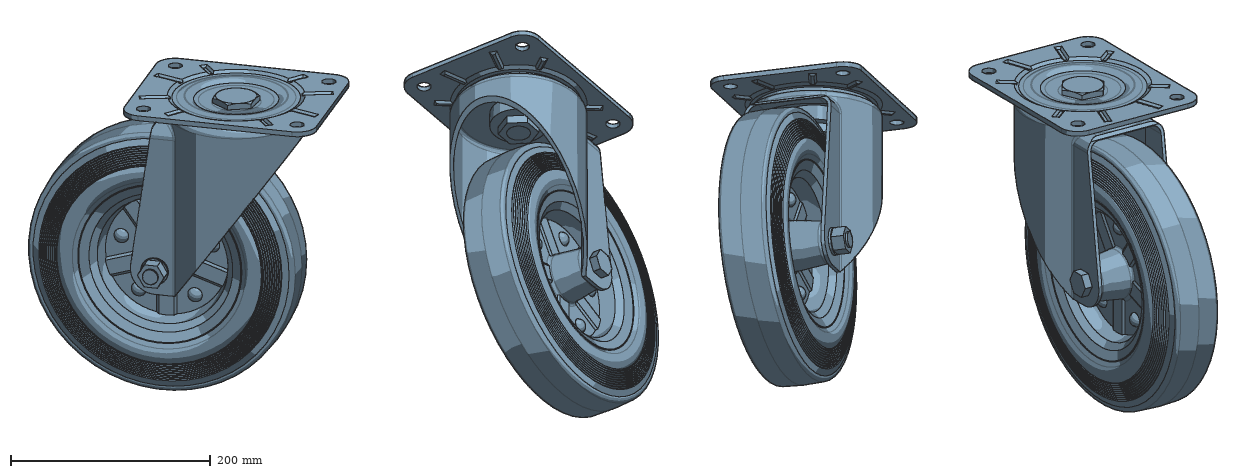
import cadquery as cq
import math


OVERALL_HEIGHT = 320.0
OVERALL_LENGTH = 312.0

PLATE_LENGTH = 200.0
PLATE_WIDTH = 160.0
PLATE_THICKNESS = 5.0
PLATE_CORNER_RADIUS = 20.0
MOUNT_PITCH_X = 160.0
MOUNT_PITCH_Y = 120.0
MOUNT_HOLE_DIAMETER = 14.0
EMBOSS_DEPTH = 2.2
EMBOSS_RIM_RADIUS = 69.0
EMBOSS_FLOOR_RADIUS = 64.5
NECK_DIAMETER = 120.0
CREST_RADIUS = 52.5
CREST_WIDTH = 1.0
CREST_DEPTH = 0.5
DISH_WALL_RADIUS = 43.0
DISH_FLOOR_RADIUS = 38.0
DISH_WALL_DEPTH = 4.0
DISH_FLOOR_DEPTH = 4.8
HEAD_SEAT_RADIUS = 25.0
HEAD_SEAT_DEPTH = 7.0
RIB_WIDTH = 8.0
RIB_FLOOR_WIDTH = 3.2
RIB_BACK_SHORTENING = 2.5
RIB_LAYOUT = ((19.0, 97.5), (52.3, 87.5))

FORK_TOP = 308.0
SHEET = 4.0
CUP_RADIUS = 69.0
CUP_FILLET = 7.7
ARCH_TOP = 297.3
ARCH_WIDTH = 92.8
ARCH_BEND_RADIUS = 14.5
ARCH_FRONT = 76.0
ARCH_FRONT_TOP_RADIUS = 3.2
LEG_END_RADIUS = 25.5
CREASE_FILLET = 4.0
SKIRT_LOW_X = -51.2
SKIRT_HIGH_Z = 282.2
BOSS_DIAMETER = 58.0
BOSS_BOTTOM = 289.3

KING_DIAMETER = 24.0
KING_HEAD_FLATS = 41.5
KING_HEAD_HEIGHT = 6.5
KING_HEAD_ANGLE = 24.0
KING_HEAD_CHAMFER_SLOPE = 2.0
KING_NUT_FLATS = 35.5
KING_NUT_HEIGHT = 9.0

WHEEL_DIAMETER = 280.0
WHEEL_OFFSET_Y = 2.0
RIM_RADIUS = 85.5
RIM_HALF_WIDTH = 30.0
RIM_EDGE = 1.0
RIM_WALL_BULGE = 1.0
RIM_SHELF_RADIUS = 75.0
RIM_SHELF_Y = 25.5
RIM_WALL_RADIUS = 68.0
RIM_WALL_Y = 19.2
WEB_RADIUS = 64.0
WEB_Y = 3.0
SPOKE_COUNT = 5
SPOKE_WIDTH = 21.0
SPOKE_TOP_WIDTH = 15.7
SPOKE_HEIGHT = 1.5
RIVET_CIRCLE_RADIUS = 50.0
RIVET_DIAMETER = 16.0
RIVET_SINK = 3.2
HUB_FOOT_RADIUS = 29.0
HUB_ROOT_RADIUS = 26.0
HUB_RADIUS = 21.8
HUB_END_RADIUS = 17.3

TREAD_HALF_WIDTH = 21.8
TREAD_DROP = 1.0
SHOULDER_RADIUS = 133.5
SHOULDER_Y = 25.0
GROOVE_OUTER_RADIUS = 126.7
GROOVE_OUTER_Y = 27.5
GROOVE_INNER_RADIUS = 107.0
GROOVE_INNER_Y = 33.3
GROOVE_COUNT = 9
GROOVE_DEPTH = 1.0
BEAD_HALF_WIDTH = 35.2
BEAD_OUTER_Y = 31.5
BEAD_INNER_RADIUS = 90.2
BEAD_INNER_Y = 33.0

AXLE_DIAMETER = 16.0
AXLE_FLATS = 24.0
AXLE_HEAD_HEIGHT = 8.5
AXLE_NUT_HEIGHT = 13.5
AXLE_END_EXTRA = 2.2
WASHER_DIAMETER = 28.0
WASHER_THICKNESS = 2.5

TOLERANCE = 0.003

WHEEL_RADIUS = WHEEL_DIAMETER / 2
AXLE_X = PLATE_LENGTH / 2 - OVERALL_LENGTH + WHEEL_RADIUS
AXLE_Z = WHEEL_RADIUS
PLATE_BOTTOM = OVERALL_HEIGHT - PLATE_THICKNESS
NECK_RADIUS = NECK_DIAMETER / 2
ARCH_HALF = ARCH_WIDTH / 2
ARCH_INNER_HALF = ARCH_HALF - SHEET
WASHER_OUTER_Y = -ARCH_HALF - WASHER_THICKNESS
AXLE_NUT_Y = WASHER_OUTER_Y - AXLE_NUT_HEIGHT
WHEEL_CENTRE = (AXLE_X, WHEEL_OFFSET_Y, AXLE_Z)


def hexagon(flats, height):
    return cq.Workplane("XY").polygon(6, flats / math.cos(math.pi / 6)).extrude(height)


def y_cylinder(radius, y_from, y_to):
    """Cylinder on the wheel axis between two Y positions."""
    return (
        cq.Workplane("XZ", origin=(AXLE_X, y_from, AXLE_Z))
        .circle(radius)
        .extrude(y_from - y_to)
    )


def y_hexagon(flats, y_low, height):
    """Hexagon on the wheel axis, flats up and down, growing from y_low towards +Y."""
    return (
        hexagon(flats, height)
        .rotate((0, 0, 0), (1, 0, 0), -90)
        .translate((AXLE_X, y_low, AXLE_Z))
    )


def king_hole():
    """Full-height cutter on the swivel axis for the king pin shank."""
    return cq.Workplane("XY").circle(KING_DIAMETER / 2).extrude(OVERALL_HEIGHT)


def rib_channel(angle, outer_radius):
    """Tapered channel from the round recess outwards, one emboss depth below the plate top."""
    length = outer_radius - EMBOSS_FLOOR_RADIUS
    slope = (RIB_WIDTH - RIB_FLOOR_WIDTH) / 2
    taper = math.degrees(math.atan(slope / EMBOSS_DEPTH))
    return (
        cq.Workplane("XY", origin=(0, 0, OVERALL_HEIGHT))
        .center(EMBOSS_FLOOR_RADIUS + length / 2, 0)
        .rect(length, RIB_WIDTH)
        .extrude(-EMBOSS_DEPTH, taper=taper)
        .rotate((0, 0, 0), (0, 0, 1), angle)
    )


def rib_channels(shortening=0.0):
    channels = []
    for angle, outer_radius in RIB_LAYOUT:
        for placed in (angle, 180 - angle, 180 + angle, -angle):
            channels.append(rib_channel(placed, outer_radius - shortening))
    return channels


def dish():
    """Pressed round recess with a rounded crest ring and a seat for the king pin head."""
    top = OVERALL_HEIGHT
    crest_z = top - CREST_DEPTH
    wall_z = top - DISH_WALL_DEPTH
    crest_inner = CREST_RADIUS - CREST_WIDTH
    return (
        cq.Workplane("XZ")
        .moveTo(0, top)
        .lineTo(EMBOSS_RIM_RADIUS, top)
        .lineTo(EMBOSS_FLOOR_RADIUS, top - EMBOSS_DEPTH)
        .lineTo(NECK_RADIUS, top - EMBOSS_DEPTH)
        .threePointArc(
            ((NECK_RADIUS + CREST_RADIUS) / 2, crest_z - EMBOSS_DEPTH / 4), (CREST_RADIUS, crest_z)
        )
        .lineTo(crest_inner, crest_z)
        .threePointArc(
            ((crest_inner + DISH_WALL_RADIUS) / 2, (crest_z + wall_z) / 2 + CREST_DEPTH),
            (DISH_WALL_RADIUS, wall_z),
        )
        .lineTo(DISH_FLOOR_RADIUS, top - DISH_FLOOR_DEPTH)
        .lineTo(HEAD_SEAT_RADIUS, top - HEAD_SEAT_DEPTH)
        .lineTo(0, top - HEAD_SEAT_DEPTH)
        .close()
        .revolve(360, (0, 0, 0), (0, 1, 0))
    )


def make_plate():
    plate = (
        cq.Workplane("XY", origin=(0, 0, PLATE_BOTTOM))
        .rect(PLATE_LENGTH, PLATE_WIDTH)
        .extrude(PLATE_THICKNESS)
        .edges("|Z")
        .fillet(PLATE_CORNER_RADIUS)
    )
    recess_back = (
        cq.Workplane("XY", origin=(0, 0, PLATE_BOTTOM))
        .circle(EMBOSS_RIM_RADIUS)
        .workplane(offset=-EMBOSS_DEPTH)
        .circle(EMBOSS_FLOOR_RADIUS)
        .loft()
    )
    neck = cq.Workplane("XY", origin=(0, 0, FORK_TOP)).circle(NECK_RADIUS).extrude(PLATE_BOTTOM - FORK_TOP)
    plate = plate.union(recess_back).union(neck)
    for back in rib_channels(RIB_BACK_SHORTENING):
        plate = plate.union(back.translate((0, 0, -PLATE_THICKNESS)))
    for channel in rib_channels():
        plate = plate.cut(channel)
    plate = plate.cut(dish())
    mount_holes = (
        cq.Workplane("XY", origin=(0, 0, PLATE_BOTTOM))
        .rect(MOUNT_PITCH_X, MOUNT_PITCH_Y, forConstruction=True)
        .vertices()
        .circle(MOUNT_HOLE_DIAMETER / 2)
        .extrude(PLATE_THICKNESS)
    )
    return plate.cut(mount_holes).cut(king_hole())


def arch(half_width, top, bend):
    """Upside-down U block running along X from the fork front to the swivel axis."""
    return (
        cq.Workplane("YZ", origin=(-2 * ARCH_FRONT, 0, 0))
        .rect(2 * half_width, 2 * top)
        .extrude(2 * ARCH_FRONT)
        .edges("|X and >Z")
        .fillet(bend)
    )


def fork_side_outline():
    """Side silhouette: round leg end, slanted front edge, slanted rear edge of the skirt."""
    leg_bottom = AXLE_Z - LEG_END_RADIUS
    front_x = ARCH_FRONT + AXLE_X
    front_z = ARCH_TOP - AXLE_Z - ARCH_FRONT_TOP_RADIUS
    reach = math.hypot(front_x, front_z)
    angle = math.atan2(front_z, -front_x) + math.acos(LEG_END_RADIUS / reach)
    middle = (angle + 1.5 * math.pi) / 2

    def on_leg_end(direction):
        return (
            AXLE_X + LEG_END_RADIUS * math.cos(direction),
            AXLE_Z + LEG_END_RADIUS * math.sin(direction),
        )

    return (
        cq.Workplane("XZ", origin=(0, PLATE_WIDTH, 0))
        .moveTo(-ARCH_FRONT, AXLE_Z + front_z)
        .lineTo(*on_leg_end(angle))
        .threePointArc(on_leg_end(middle), (AXLE_X, leg_bottom))
        .lineTo(SKIRT_LOW_X, leg_bottom)
        .lineTo(CUP_RADIUS, SKIRT_HIGH_Z)
        .lineTo(CUP_RADIUS, FORK_TOP)
        .lineTo(-ARCH_FRONT + ARCH_FRONT_TOP_RADIUS, FORK_TOP)
        .lineTo(-ARCH_FRONT + ARCH_FRONT_TOP_RADIUS, ARCH_TOP)
        .close()
        .extrude(2 * PLATE_WIDTH)
    )


def fork_outside():
    """Cup and arch with a concave rounding all along the crease where they meet."""
    cup_block = cq.Workplane("XY").circle(CUP_RADIUS).extrude(FORK_TOP)
    body = cup_block.union(arch(ARCH_HALF, ARCH_TOP, ARCH_BEND_RADIUS))
    crease = []
    for edge in body.edges().vals():
        middle = edge.positionAt(0.5)
        on_cup = math.isclose(math.hypot(middle.x, middle.y), CUP_RADIUS, abs_tol=TOLERANCE)
        beside_arch = middle.x < 0 and abs(middle.y) < ARCH_HALF + TOLERANCE
        if on_cup and beside_arch and 0 < middle.z < FORK_TOP - CUP_FILLET:
            crease.append(edge)
    body = body.newObject(crease).fillet(CREASE_FILLET)
    return body.faces(">Z").edges().fillet(CUP_FILLET)


def make_fork():
    inside = (
        cq.Workplane("XY")
        .circle(CUP_RADIUS - SHEET)
        .extrude(FORK_TOP - SHEET)
        .faces(">Z")
        .edges()
        .fillet(CUP_FILLET - SHEET)
        .union(arch(ARCH_INNER_HALF, ARCH_TOP - SHEET, ARCH_BEND_RADIUS - SHEET))
    )
    boss = (
        cq.Workplane("XY", origin=(0, 0, BOSS_BOTTOM))
        .circle(BOSS_DIAMETER / 2)
        .extrude(FORK_TOP - SHEET - BOSS_BOTTOM)
    )
    axle_hole = y_cylinder(AXLE_DIAMETER / 2, -PLATE_WIDTH, PLATE_WIDTH)
    fork = fork_outside().cut(inside).intersect(fork_side_outline())
    return fork.union(boss).cut(king_hole()).cut(axle_hole)


def make_king_bolt():
    seat = OVERALL_HEIGHT - HEAD_SEAT_DEPTH
    nut_bottom = BOSS_BOTTOM - KING_NUT_HEIGHT
    chamfer_cone = (
        cq.Workplane("XY")
        .circle(KING_HEAD_FLATS / 2 + KING_HEAD_CHAMFER_SLOPE * KING_HEAD_HEIGHT)
        .extrude(KING_HEAD_HEIGHT, taper=math.degrees(math.atan(KING_HEAD_CHAMFER_SLOPE)))
    )
    head = (
        hexagon(KING_HEAD_FLATS, KING_HEAD_HEIGHT)
        .intersect(chamfer_cone)
        .rotate((0, 0, 0), (0, 0, 1), KING_HEAD_ANGLE)
        .translate((0, 0, seat))
    )
    shank = cq.Workplane("XY", origin=(0, 0, nut_bottom)).circle(KING_DIAMETER / 2).extrude(seat - nut_bottom)
    return head.union(shank)


def make_king_nut():
    nut = hexagon(KING_NUT_FLATS, KING_NUT_HEIGHT).translate((0, 0, BOSS_BOTTOM - KING_NUT_HEIGHT))
    return nut.cut(king_hole())


def place_on_axle(body):
    """Move a body built round the Y axis at the origin to the wheel centre."""
    return body.translate(WHEEL_CENTRE)


def rim_half():
    """One side of the rim and its web, from the wheel mid-plane outwards (+Y)."""
    knee = (
        (WEB_RADIUS + RIM_WALL_RADIUS) / 2 + RIM_WALL_BULGE,
        (WEB_Y + RIM_WALL_Y) / 2 - RIM_WALL_BULGE,
    )
    return (
        cq.Workplane("XY")
        .moveTo(0, 0)
        .lineTo(RIM_RADIUS, 0)
        .lineTo(RIM_RADIUS, RIM_HALF_WIDTH - RIM_EDGE)
        .lineTo(RIM_RADIUS - RIM_EDGE, RIM_HALF_WIDTH)
        .lineTo(RIM_SHELF_RADIUS, RIM_SHELF_Y)
        .lineTo(RIM_WALL_RADIUS, RIM_WALL_Y)
        .threePointArc(knee, (WEB_RADIUS, WEB_Y))
        .lineTo(0, WEB_Y)
        .close()
        .revolve(360, (0, 0, 0), (0, 1, 0))
    )


def spoke(angle):
    """Raised bar with bevelled sides on the +Y face of the web."""
    return (
        cq.Workplane("YZ")
        .moveTo(WEB_Y, -SPOKE_WIDTH / 2)
        .lineTo(WEB_Y + SPOKE_HEIGHT, -SPOKE_TOP_WIDTH / 2)
        .lineTo(WEB_Y + SPOKE_HEIGHT, SPOKE_TOP_WIDTH / 2)
        .lineTo(WEB_Y, SPOKE_WIDTH / 2)
        .lineTo(0, SPOKE_WIDTH / 2)
        .lineTo(0, -SPOKE_WIDTH / 2)
        .close()
        .extrude(RIM_WALL_RADIUS)
        .rotate((0, 0, 0), (0, 1, 0), angle)
    )


def rivet(angle):
    return (
        cq.Workplane("XY")
        .sphere(RIVET_DIAMETER / 2)
        .translate((RIVET_CIRCLE_RADIUS, WEB_Y - RIVET_SINK, 0))
        .rotate((0, 0, 0), (0, 1, 0), angle)
    )


def hub_side(end_y):
    """Tapered hub from the mid-plane to its rounded end, on the +Y side."""
    rounding = HUB_RADIUS - HUB_END_RADIUS
    foot = HUB_FOOT_RADIUS - HUB_ROOT_RADIUS
    return (
        cq.Workplane("XY")
        .moveTo(0, 0)
        .lineTo(HUB_FOOT_RADIUS, 0)
        .lineTo(HUB_FOOT_RADIUS, WEB_Y)
        .radiusArc((HUB_ROOT_RADIUS, WEB_Y + foot), foot)
        .lineTo(HUB_RADIUS, end_y - rounding)
        .radiusArc((HUB_END_RADIUS, end_y), -rounding)
        .lineTo(0, end_y)
        .close()
        .revolve(360, (0, 0, 0), (0, 1, 0))
    )


def make_wheel():
    side = rim_half()
    for index in range(SPOKE_COUNT):
        angle = 90 + index * 360 / SPOKE_COUNT
        side = side.union(spoke(angle)).union(rivet(angle + 180 / SPOKE_COUNT))
    wheel = side.union(side.mirror("XZ"))
    wheel = wheel.union(hub_side(ARCH_INNER_HALF - WHEEL_OFFSET_Y))
    wheel = wheel.union(hub_side(ARCH_INNER_HALF + WHEEL_OFFSET_Y).mirror("XZ"))
    return place_on_axle(wheel).cut(y_cylinder(AXLE_DIAMETER / 2, -PLATE_WIDTH, PLATE_WIDTH))


def tyre_half():
    """One side of the tyre from its mid-plane outwards (+Y), with fine V grooves on the flank."""
    tread_edge = WHEEL_RADIUS - TREAD_DROP
    shoulder_middle = (
        (tread_edge + SHOULDER_RADIUS) / 2 + TREAD_DROP,
        (TREAD_HALF_WIDTH + SHOULDER_Y) / 2 + TREAD_DROP,
    )
    bead_middle = ((GROOVE_INNER_RADIUS + BEAD_INNER_RADIUS) / 2, BEAD_HALF_WIDTH)
    profile = (
        cq.Workplane("XY")
        .moveTo(RIM_RADIUS, 0)
        .lineTo(WHEEL_RADIUS, 0)
        .lineTo(tread_edge, TREAD_HALF_WIDTH)
        .threePointArc(shoulder_middle, (SHOULDER_RADIUS, SHOULDER_Y))
        .lineTo(GROOVE_OUTER_RADIUS, GROOVE_OUTER_Y)
    )
    radius_step = (GROOVE_INNER_RADIUS - GROOVE_OUTER_RADIUS) / GROOVE_COUNT
    y_step = (GROOVE_INNER_Y - GROOVE_OUTER_Y) / GROOVE_COUNT
    for index in range(GROOVE_COUNT):
        valley = index + 0.5
        profile = profile.lineTo(
            GROOVE_OUTER_RADIUS + valley * radius_step, GROOVE_OUTER_Y + valley * y_step - GROOVE_DEPTH
        ).lineTo(
            GROOVE_OUTER_RADIUS + (index + 1) * radius_step, GROOVE_OUTER_Y + (index + 1) * y_step
        )
    return (
        profile.lineTo(GROOVE_INNER_RADIUS, BEAD_OUTER_Y)
        .threePointArc(bead_middle, (BEAD_INNER_RADIUS, BEAD_INNER_Y))
        .lineTo(RIM_RADIUS, RIM_HALF_WIDTH)
        .close()
        .revolve(360, (0, 0, 0), (0, 1, 0))
    )


def make_tyre():
    half = tyre_half()
    return place_on_axle(half.union(half.mirror("XZ")))


def make_axle_bolt():
    head = y_hexagon(AXLE_FLATS, ARCH_HALF, AXLE_HEAD_HEIGHT)
    return head.union(y_cylinder(AXLE_DIAMETER / 2, AXLE_NUT_Y - AXLE_END_EXTRA, ARCH_HALF))


def make_axle_nut():
    nut = y_hexagon(AXLE_FLATS, AXLE_NUT_Y, AXLE_NUT_HEIGHT)
    return nut.cut(y_cylinder(AXLE_DIAMETER / 2, AXLE_NUT_Y, WASHER_OUTER_Y))


def make_axle_washer():
    disc = y_cylinder(WASHER_DIAMETER / 2, WASHER_OUTER_Y, -ARCH_HALF)
    return disc.cut(y_cylinder(AXLE_DIAMETER / 2, WASHER_OUTER_Y, -ARCH_HALF))


plate = make_plate()
fork = make_fork()
king_bolt = make_king_bolt()
king_nut = make_king_nut()
wheel = make_wheel()
tyre = make_tyre()
axle_bolt = make_axle_bolt()
axle_nut = make_axle_nut()
axle_washer = make_axle_washer()

result = cq.Compound.makeCompound(
    [
        plate.val(),
        fork.val(),
        king_bolt.val(),
        king_nut.val(),
        wheel.val(),
        tyre.val(),
        axle_bolt.val(),
        axle_nut.val(),
        axle_washer.val(),
    ]
)